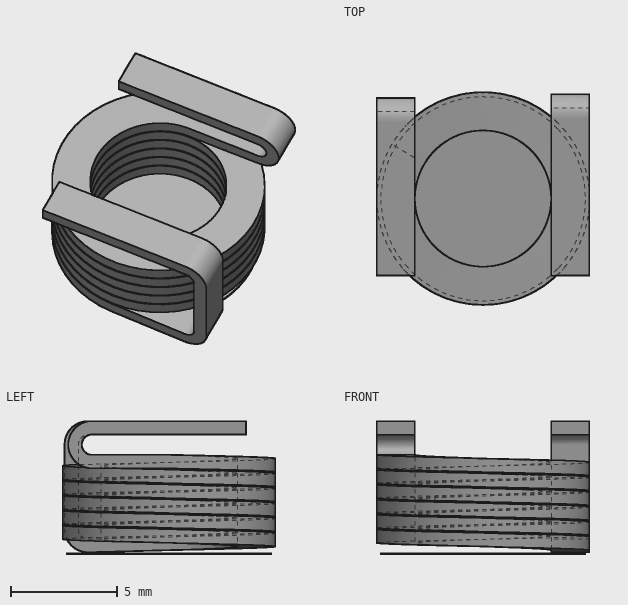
import cadquery as cq
import math

coil_diameter = 10.0
total_height = 6.25
wire_width = 1.8
wire_thickness = 0.64
pitch = 0.7
turns = 5.5
inner_bend_radius = 0.47
terminal_front_y = -3.62
hook_bend_y = 3.62
riser_back_y = 4.91
disc_diameter = 9.6
disc_thickness = 0.05

coil_radius = coil_diameter / 2
bore_radius = coil_radius - wire_width
mean_radius = coil_radius - wire_width / 2
outer_bend_radius = inner_bend_radius + wire_thickness
terminal_bottom_z = total_height - wire_thickness
hook_bend_z = total_height - outer_bend_radius
coil_top_end_z = total_height - 2 * outer_bend_radius
coil_bottom_end_z = coil_top_end_z - turns * pitch
lead_slope = pitch / (2 * math.pi * mean_radius)


def make_coil():
    """Left-handed flat-wire helix from the lower end on +X to the upper end on -X."""
    path = cq.Wire.makeHelix(pitch, turns * pitch, mean_radius, lefthand=True)
    section = cq.Workplane("XZ").center(mean_radius, wire_thickness / 2).rect(wire_width, wire_thickness)
    helix = section.sweep(cq.Workplane(path), isFrenet=True)
    return helix.translate((0, 0, coil_bottom_end_z))


def make_hook_terminal():
    """Hairpin on -X: leaves the upper wire end level, turns back and runs over the coil."""
    return (
        cq.Workplane("YZ", origin=(-coil_radius, 0, 0))
        .moveTo(0, coil_top_end_z)
        .lineTo(hook_bend_y, coil_top_end_z)
        .threePointArc((hook_bend_y + outer_bend_radius, hook_bend_z), (hook_bend_y, total_height))
        .lineTo(terminal_front_y, total_height)
        .lineTo(terminal_front_y, terminal_bottom_z)
        .lineTo(hook_bend_y, terminal_bottom_z)
        .threePointArc(
            (hook_bend_y + inner_bend_radius, hook_bend_z),
            (hook_bend_y, coil_top_end_z + wire_thickness),
        )
        .lineTo(0, coil_top_end_z + wire_thickness)
        .close()
        .extrude(wire_width)
    )


def make_riser_terminal():
    """Terminal on +X: slopes on from the lower wire end, climbs behind the coil and runs over it."""
    riser_inner_y = riser_back_y - wire_thickness
    lead_top_z = coil_bottom_end_z + wire_thickness
    blank = (
        cq.Workplane("YZ", origin=(bore_radius, 0, 0))
        .polyline([
            (0, coil_bottom_end_z),
            (riser_back_y, coil_bottom_end_z - lead_slope * riser_back_y),
            (riser_back_y, total_height),
            (terminal_front_y, total_height),
            (terminal_front_y, terminal_bottom_z),
            (riser_inner_y, terminal_bottom_z),
            (riser_inner_y, lead_top_z - lead_slope * riser_inner_y),
            (0, lead_top_z),
        ])
        .close()
        .extrude(wire_width)
    )
    outer_rounded = blank.faces(">Y").edges("|X").fillet(outer_bend_radius)
    inner_face = cq.selectors.NearestToPointSelector((mean_radius, riser_inner_y, total_height / 2))
    return outer_rounded.faces(inner_face).edges("|X").fillet(inner_bend_radius)


def make_winding():
    """Coil and its two terminals, all one continuous wire."""
    return make_coil().union(make_hook_terminal()).union(make_riser_terminal())


def make_base_disc():
    """Thin disc lying just below the coil."""
    return cq.Workplane("XY").circle(disc_diameter / 2).extrude(disc_thickness)


winding = make_winding()
base_disc = make_base_disc()

result = cq.Compound.makeCompound([winding.solids().val(), base_disc.val()])